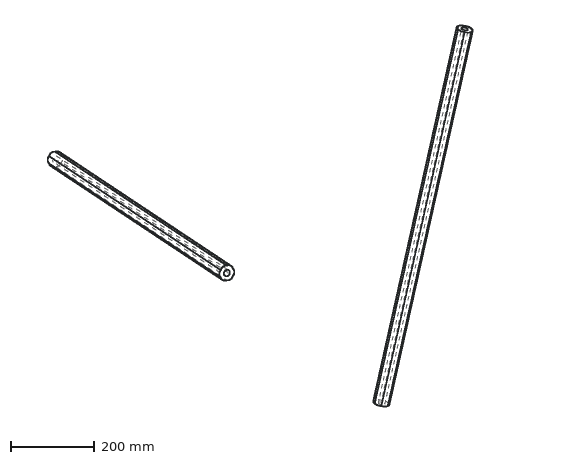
import cadquery as cq
import math

length = 1000.0
lobe_count = 6
lobe_radius = 12.5
tip_radius = 20.0
bore_diameter = 16.0

lobe_pitch = 360.0 / lobe_count
lobe_offset = tip_radius - lobe_radius

half_pitch = math.radians(lobe_pitch / 2)
valley_radius = lobe_offset * math.cos(half_pitch) + math.sqrt(
    lobe_radius**2 - (lobe_offset * math.sin(half_pitch)) ** 2
)


def polar_point(radius, angle_degrees):
    """Point in the YZ section, with the angle measured from +Y towards +Z."""
    angle = math.radians(angle_degrees)
    return (radius * math.cos(angle), radius * math.sin(angle))


def lobed_bar():
    """Solid bar whose section is a ring of convex arcs meeting at sharp valleys."""
    outline = cq.Workplane("YZ").moveTo(*polar_point(valley_radius, -lobe_pitch / 2))
    for index in range(lobe_count):
        tip_angle = index * lobe_pitch
        tip = polar_point(tip_radius, tip_angle)
        next_valley = polar_point(valley_radius, tip_angle + lobe_pitch / 2)
        outline = outline.threePointArc(tip, next_valley)
    return outline.close().extrude(length)


def through_bore():
    """Cylinder removed along the whole length of the bar."""
    return cq.Workplane("YZ").circle(bore_diameter / 2).extrude(length)


result = lobed_bar().cut(through_bore())